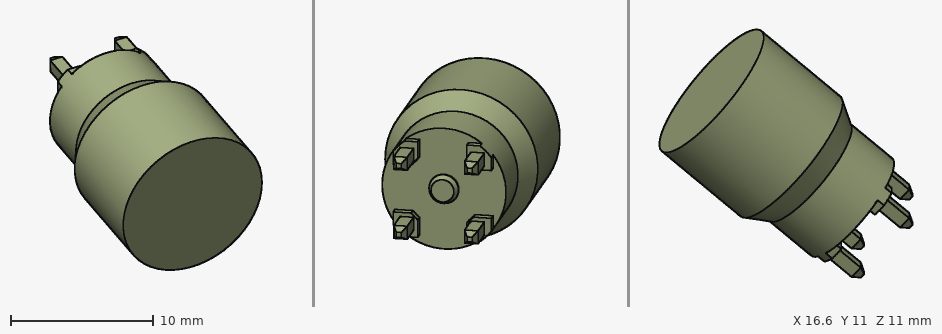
import cadquery as cq

rear_diameter = 10.97
front_diameter = 8.9
front_length = 4.0
taper_length = 1.8
body_length = 13.25

pin_offset = 2.54
pin_width = 0.96
pin_tip_width = 0.36
pin_length = 3.3
pin_tip_length = 0.6

pad_inner = 1.76
pad_outer = 3.52
pad_chamfer = 0.48
pad_height = 0.6

boss_diameter = 2.12
boss_top_diameter = 1.64
boss_height = 0.53
boss_taper_height = 0.43

quadrants = [(1, 1), (-1, 1), (-1, -1), (1, -1)]


def make_body():
    """Front and rear cylinders joined by a conical taper."""
    taper_end = front_length + taper_length
    return (
        cq.Workplane("XY")
        .polyline([
            (0, 0),
            (0, front_diameter / 2),
            (front_length, front_diameter / 2),
            (taper_end, rear_diameter / 2),
            (body_length, rear_diameter / 2),
            (body_length, 0),
        ])
        .close()
        .revolve(360, (0, 0, 0), (1, 0, 0))
    )


def make_boss():
    """Short round boss on the axis with a tapered end."""
    return (
        cq.Workplane("XY")
        .polyline([
            (0, 0),
            (0, boss_diameter / 2),
            (boss_taper_height - boss_height, boss_diameter / 2),
            (-boss_height, boss_top_diameter / 2),
            (-boss_height, 0),
        ])
        .close()
        .revolve(360, (0, 0, 0), (1, 0, 0))
    )


def make_pad(y_sign, z_sign):
    """Square pad, chamfered toward the axis and trimmed to the front cylinder."""
    outline = [
        (pad_inner + pad_chamfer, pad_inner),
        (pad_outer, pad_inner),
        (pad_outer, pad_outer),
        (pad_inner, pad_outer),
        (pad_inner, pad_inner + pad_chamfer),
    ]
    pad = (
        cq.Workplane("YZ")
        .polyline([(y_sign * y, z_sign * z) for y, z in outline])
        .close()
        .extrude(-pad_height)
    )
    envelope = cq.Workplane("YZ").circle(front_diameter / 2).extrude(-pad_height)
    return pad.intersect(envelope)


def make_pin(y_sign, z_sign):
    """Square pin ending in a truncated pyramid."""
    shank_length = pin_length - pin_tip_length
    center = (y_sign * pin_offset, z_sign * pin_offset)
    shank = cq.Workplane("YZ").center(*center).rect(pin_width, pin_width).extrude(-shank_length)
    tip = (
        cq.Workplane("YZ", origin=(-shank_length, 0, 0))
        .center(*center)
        .rect(pin_width, pin_width)
        .workplane(offset=-pin_tip_length)
        .rect(pin_tip_width, pin_tip_width)
        .loft(ruled=True)
    )
    return shank.union(tip)


result = make_body().union(make_boss())
for y_sign, z_sign in quadrants:
    result = result.union(make_pad(y_sign, z_sign)).union(make_pin(y_sign, z_sign))